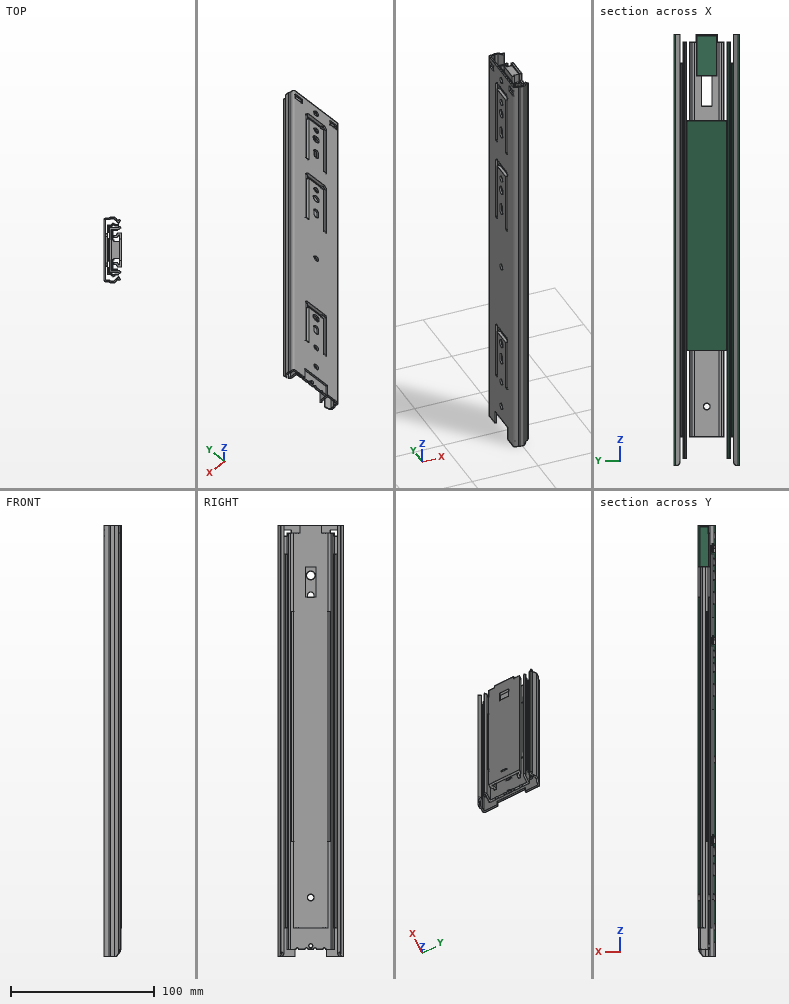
import cadquery as cq
import math

slide_length = 300.0
slide_width = 45.7
slide_depth = 12.3
half_width = slide_width / 2

outer_sheet = 1.2
middle_sheet = 1.4
inner_sheet = 1.6
outer_cage_sheet = 1.0
inner_cage_sheet = 0.6

middle_bottom = 5.0
middle_top = 294.5
inner_bottom = 20.0
bumper_bottom = 271.0
outer_cage_bottom = 20.0
outer_cage_top = 280.0
inner_cage_bottom = 80.0
inner_cage_top = 240.0

screw_hole = 4.4
large_hole = 5.9
slot_height = 8.2
hole_pitch = 32.0
top_group_z = 265.1
lower_group_z = top_group_z - 6 * hole_pitch
small_hole_rise = 9.4
slot_drop = 15.7
lower_slot_drop = 12.6
through_hole_z = lower_group_z - hole_pitch
end_hole_z = 292.7
foot_hole_z = 20.7

small_hole_heights = [
    end_hole_z,
    top_group_z + small_hole_rise,
    top_group_z - 2 * hole_pitch + small_hole_rise,
    top_group_z - 4 * hole_pitch,
    through_hole_z,
    foot_hole_z,
]
large_hole_heights = [top_group_z, top_group_z - 2 * hole_pitch, lower_group_z]
slot_heights = [
    top_group_z - slot_drop,
    top_group_z - 2 * hole_pitch - slot_drop,
    lower_group_z - lower_slot_drop,
]

top_bead_top = 286.1
bead_length = 49.0
lower_bead_top = 83.6
lower_bead_bottom = 41.0
beads = [
    (top_bead_top, top_bead_top - bead_length, 2.2),
    (top_bead_top - 2 * hole_pitch, top_bead_top - 2 * hole_pitch - bead_length, 2.0),
    (lower_bead_top, lower_bead_bottom, 1.0),
]
bead_half_width = 10.2
bead_inner_half_width = 7.3
bead_top_width = 5.0
bead_depth = 1.4
bead_inner_foot = 1.0
trough_depth = 2.3
trough_half_width = 8.0
trough_floor_half_width = 6.3

window_width = 7.0
window_height = 4.1
window_y = 17.1
window_z = 294.5
foot_notch_half_width = 10.9
foot_notch_height = 9.8
outer_bend_radius = 1.5
lip_bevel_start = 8.6
lip_bevel_height = 4.5

opening_half_width = 3.5
opening_bottom = 250.0
opening_top = bumper_bottom

foot_scallop_radius = 1.0
foot_scallop_places = [-9.4, -3.0, 3.0, 9.4]
foot_peephole = 2.6
foot_peephole_z = 7.5

tab_half_width = 7.5
bumper_half_width = 7.0
bumper_step_half_width = 6.0
bumper_step_x = 7.0
bumper_top = 299.0

bulge_y = half_width - outer_sheet / 2
flange_y = bulge_y - 0.65
outer_half_line = [
    (outer_sheet / 2, flange_y),
    (3.6, flange_y),
    (4.6, bulge_y),
    (7.2, bulge_y),
    (10.1, 19.4),
    (11.0, 20.9),
]
middle_web_x = 4.5
middle_flange_y = 14.9
middle_half_line = [
    (middle_web_x, middle_flange_y),
    (10.2, middle_flange_y),
    (11.4, 15.9),
]
inner_web_x = slide_depth - inner_sheet / 2
inner_race_y = 9.4
inner_half_line = [
    (inner_web_x, 11.1),
    (10.0, 11.1),
    (8.8, inner_race_y),
    (6.9, inner_race_y),
]
inner_cage_half_line = [(6.0, 13.7), (9.5, 13.7)]
outer_cage_line = [
    (3.1, 12.2),
    (3.1, 16.7),
    (5.0, 16.7),
    (6.5, 18.1),
    (8.0, 17.1),
    (10.0, 17.1),
]


def mirrored(half_line):
    """Full channel centre line, from the -Y lip over the web to the +Y lip."""
    return [(x, -y) for x, y in reversed(half_line)] + half_line


def offset_side(line, distance):
    """Points of the centre line moved sideways, with mitred corners."""
    directions = []
    for (x0, y0), (x1, y1) in zip(line, line[1:]):
        span = math.hypot(x1 - x0, y1 - y0)
        directions.append(((x1 - x0) / span, (y1 - y0) / span))
    before = directions[:1] + directions
    after = directions + directions[-1:]
    moved = []
    for (x, y), (ax, ay), (bx, by) in zip(line, before, after):
        reach = distance / (1 + ax * bx + ay * by)
        moved.append((x - reach * (ay + by), y + reach * (ax + bx)))
    return moved


def bent_sheet(line, thickness, bottom, top):
    """Sheet of constant thickness bent along the centre line and extruded in Z."""
    left = offset_side(line, thickness / 2)
    right = offset_side(line, -thickness / 2)
    outline = cq.Workplane("XY").workplane(offset=bottom).polyline(left + right[::-1]).close()
    return outline.extrude(top - bottom)


def block(x0, x1, half_y, z0, z1):
    """Box centred on Y = 0."""
    box = cq.Workplane("XY").box(x1 - x0, 2 * half_y, z1 - z0, centered=(False, True, False))
    return box.translate((x0, 0, z0))


def drill(heights, diameter):
    """Round cutters along X through the whole slide, centred on Y = 0."""
    return cq.Workplane("YZ").pushPoints([(0, z) for z in heights]).circle(diameter / 2).extrude(slide_depth)


def trapezoid_prism(half_width_at_face, half_width_at_depth, depth, bottom, top):
    """Prism along Z whose half width changes from X = 0 to the given depth."""
    outline = [
        (0, -half_width_at_face),
        (depth, -half_width_at_depth),
        (depth, half_width_at_depth),
        (0, half_width_at_face),
    ]
    return cq.Workplane("XY").workplane(offset=bottom).polyline(outline).close().extrude(top - bottom)


def bead_form(top, bottom, corner_cut, wall):
    """U-shaped form of a bead, deeper across its top; wall widens it to back the groove with metal."""
    low_end = bottom - wall
    half_y = bead_half_width + wall
    form = block(0, bead_depth, half_y, low_end, top + wall).edges("|X and >Z").chamfer(corner_cut)
    core_top = top - bead_top_width - wall
    core_half_y = bead_inner_half_width - wall
    core = trapezoid_prism(core_half_y, core_half_y + bead_inner_foot, bead_depth, low_end, core_top)
    trough_face = trough_half_width + wall
    trough_floor = trough_floor_half_width + wall
    trough = trapezoid_prism(trough_face, trough_floor, trough_depth, core_top, top)
    return form.cut(core).union(trough)


def make_outer():
    body = bent_sheet(mirrored(outer_half_line), outer_sheet, 0, slide_length)
    body = body.edges("|Z and <X").fillet(outer_bend_radius)
    for top, bottom, corner_cut in beads:
        backing = bead_form(top, bottom, corner_cut, outer_sheet).translate((outer_sheet, 0, 0))
        body = body.union(backing)
        body = body.cut(bead_form(top, bottom, corner_cut, 0))
    body = body.cut(drill(small_hole_heights, screw_hole)).cut(drill(large_hole_heights, large_hole))
    slots = (
        cq.Workplane("YZ")
        .pushPoints([(0, z) for z in slot_heights])
        .slot2D(slot_height, screw_hole, 90)
        .extrude(outer_sheet)
    )
    windows = (
        cq.Workplane("YZ")
        .pushPoints([(-window_y, window_z), (window_y, window_z)])
        .rect(window_width, window_height)
        .extrude(outer_sheet)
    )
    foot_notch = block(0, outer_sheet, foot_notch_half_width, 0, foot_notch_height)
    lip_bevel = (
        cq.Workplane("XZ")
        .polyline([(lip_bevel_start, 0), (slide_depth, 0), (slide_depth, lip_bevel_height)])
        .close()
        .extrude(half_width, both=True)
    )
    return body.cut(slots).cut(windows).cut(foot_notch).cut(lip_bevel)


def make_middle():
    body = bent_sheet(mirrored(middle_half_line), middle_sheet, middle_bottom, middle_top)
    scallops = (
        cq.Workplane("YZ")
        .pushPoints([(y, middle_bottom) for y in foot_scallop_places])
        .circle(foot_scallop_radius)
        .extrude(slide_depth)
    )
    body = body.cut(scallops).cut(drill([foot_peephole_z], foot_peephole))
    return body.cut(drill([through_hole_z], screw_hole)).cut(web_opening())


def web_opening():
    """Rectangular cutter that opens the middle and inner webs."""
    return block(0, slide_depth, opening_half_width, opening_bottom, opening_top)


def make_inner():
    body = bent_sheet(mirrored(inner_half_line), inner_sheet, inner_bottom, middle_top)
    tab = block(slide_depth - inner_sheet, slide_depth, tab_half_width, middle_top, slide_length)
    return body.union(tab).cut(web_opening()).cut(drill([through_hole_z], screw_hole))


def make_bumper():
    back_x = middle_web_x + middle_sheet / 2
    front_x = slide_depth - inner_sheet
    base = block(back_x, bumper_step_x, bumper_half_width, bumper_bottom, bumper_top)
    step = block(bumper_step_x, front_x, bumper_step_half_width, bumper_bottom, bumper_top)
    return base.union(step)


def make_outer_cage(side):
    line = [(x, side * y) for x, y in outer_cage_line]
    return bent_sheet(line, outer_cage_sheet, outer_cage_bottom, outer_cage_top)


outer_member = make_outer()
middle_member = make_middle()
inner_member = make_inner()
bumper = make_bumper()
inner_cage = bent_sheet(mirrored(inner_cage_half_line), inner_cage_sheet, inner_cage_bottom, inner_cage_top)
outer_cages = [make_outer_cage(side) for side in (-1, 1)]

result = cq.Compound.makeCompound(
    [
        outer_member.val(),
        middle_member.val(),
        inner_member.val(),
        bumper.val(),
        inner_cage.val(),
        *[cage.val() for cage in outer_cages],
    ]
)